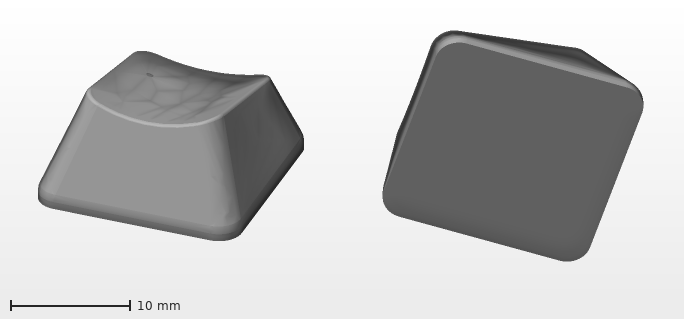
import cadquery as cq
import math

base_size = 18.16
base_corner_radius = 2.03
skirt_height = 0.67

shoulder_height = 0.65
bend_height = skirt_height + shoulder_height / 2

top_width = 11.99
top_front_y = -5.18
top_back_y = 8.66
top_corner_radius = 1.85
top_front_height = 9.53
top_back_height = 6.25
rim_radius = 0.29

scoop_front_depth = 1.47
scoop_back_depth = 1.1
scoop_overrun = 0.25

dimple_diameter = 0.62
dimple_x = -3.47
dimple_y = 4.07
dimple_depth = 0.05

half_base = base_size / 2
half_width = top_width / 2
top_slope = (top_front_height - top_back_height) / (top_back_y - top_front_y)
top_center_y = (top_front_y + top_back_y) / 2
top_length = (top_back_y - top_front_y) * math.hypot(1, top_slope)


def top_height(y):
    """Height of the sloping top plane at a given Y."""
    return top_front_height - top_slope * (y - top_front_y)


top_plane = cq.Plane(
    origin=(0, top_center_y, top_height(top_center_y)),
    xDir=(1, 0, 0),
    normal=(0, top_slope, 1),
)


def rounded_outline(plane, corners, radius):
    """Closed wire through the corners, each rounded to the radius."""
    outline = cq.Wire.makePolygon([cq.Vector(x, y, 0) for x, y in corners], close=True)
    rounded = outline.fillet2D(radius, outline.Vertices())
    return rounded.moved(cq.Location(plane))


def rectangle_corners(width, length):
    """Corners of a centred rectangle, counterclockwise from front left."""
    x = width / 2
    y = length / 2
    return [(-x, -y), (x, -y), (x, y), (-x, y)]


def shoulder_outline(rise):
    """Outline at a share of the shoulder height; the inset grows with the square of the rise."""
    wall_rise = rise**2 * shoulder_height / 2

    def inset_corner(side, base_y, top_y):
        share = wall_rise / (top_height(top_y) - bend_height)
        x = half_base + share * (half_width - half_base)
        y = base_y + share * (top_y - base_y)
        return (side * x, y)

    corners = [
        inset_corner(-1, -half_base, top_front_y),
        inset_corner(1, -half_base, top_front_y),
        inset_corner(1, half_base, top_back_y),
        inset_corner(-1, half_base, top_back_y),
    ]
    plane = cq.Plane.XY(origin=(0, 0, skirt_height + rise * shoulder_height))
    return rounded_outline(plane, corners, base_corner_radius)


def make_body():
    """Upright skirt, bent shoulder and ruled walls up to the sloping top."""
    foot = rounded_outline(cq.Plane.XY(), rectangle_corners(base_size, base_size), base_corner_radius)
    top = rounded_outline(top_plane, rectangle_corners(top_width, top_length), top_corner_radius)
    shoulder = [shoulder_outline(rise) for rise in (0, 0.5, 1)]
    skirt = cq.Solid.extrudeLinear(foot, [], cq.Vector(0, 0, skirt_height))
    bend = cq.Solid.makeLoft(shoulder)
    walls = cq.Solid.makeLoft([shoulder[-1], top], True)
    return cq.Workplane(skirt).union(bend).union(walls)


def scoop_section(run, depth):
    """Circle across the top, set by its depth at the given distance from the top's centre."""
    radius = (half_width**2 + depth**2) / (2 * depth)
    center = top_plane.toWorldCoords((0, run, radius - depth))
    return cq.Wire.makeCircle(radius, center, top_plane.yDir)


def make_scoop():
    """Tapered round cutter that passes through both long edges of the top."""
    extra_depth = scoop_overrun * (scoop_front_depth - scoop_back_depth)
    half_run = (0.5 + scoop_overrun) * top_length
    front = scoop_section(-half_run, scoop_front_depth + extra_depth)
    back = scoop_section(half_run, scoop_back_depth - extra_depth)
    return cq.Workplane(cq.Solid.makeLoft([front, back], True))


def round_rim(body):
    """Round the edge all around the scooped face."""
    middle_depth = (scoop_front_depth + scoop_back_depth) / 2
    scoop_middle = top_plane.toWorldCoords((0, 0, -middle_depth))
    scooped_face = body.faces(cq.selectors.NearestToPointSelector(scoop_middle.toTuple()))
    return scooped_face.edges().fillet(rim_radius)


def make_dimple(scoop):
    """Shallow round pocket whose floor follows the scooped face."""
    pin = cq.Workplane().center(dimple_x, dimple_y).circle(dimple_diameter / 2).extrude(base_size)
    return pin.intersect(scoop.translate((0, 0, -dimple_depth)))


scoop = make_scoop()
body = round_rim(make_body().cut(scoop))
result = body.cut(make_dimple(scoop))